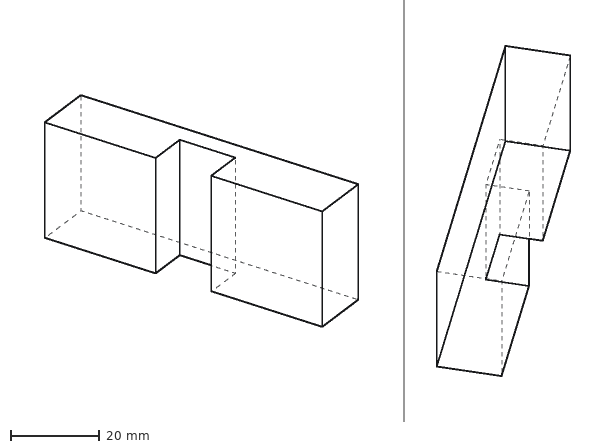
import cadquery as cq

length = 75.0
thickness = 15.0
height = 30.0
slot_width = 15.0
slot_depth = 10.0


def make_block():
    """Plain rectangular block centred on the origin."""
    return cq.Workplane("XY").box(length, thickness, height)


def make_slot():
    """Square-cornered slot through the full height, open at the -Y face."""
    slot_center_y = (slot_depth - thickness) / 2
    return (
        cq.Workplane("XY")
        .box(slot_width, slot_depth, height)
        .translate((0, slot_center_y, 0))
    )


result = make_block().cut(make_slot())